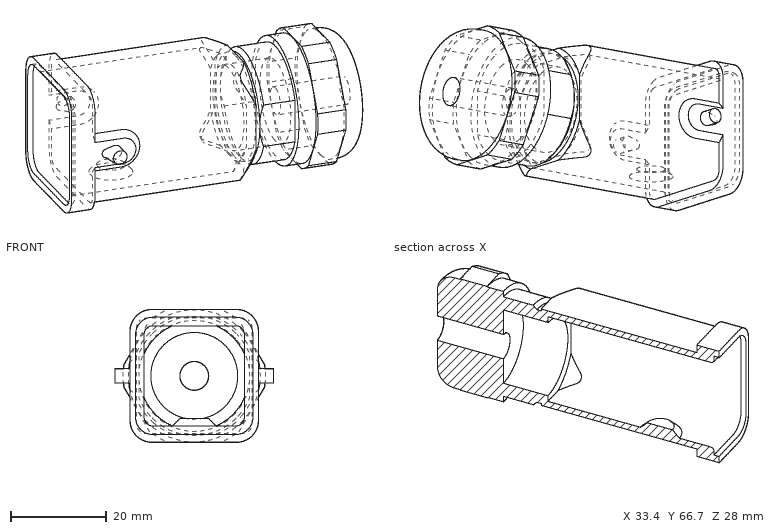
import cadquery as cq
import math


total_length = 66.7
flange_depth = 5.3
body_end = 42.1
groove_end = body_end + 1.0
neck_end = 51.0
hex_start = 54.9
hex_end = 61.2

flange_width = 27.1
flange_height = 28.0
flange_corner = 4.7
body_side = 24.3
body_corner = 2.0
body_cone_radius = 13.1

end_wall = 1.6
cavity_side = 21.1
cavity_corner = 1.8
cavity_cone_radius = 11.505
mouth_round = 0.8
gasket_ledge = 1.0
gasket_depth = 1.2
neck_bore = 18.3
cable_hole = 6.0

boss_y = 14.0
boss_top_radius = 3.0
boss_height = 1.6

groove_diameter = 23.35
neck_flat_width = 23.2
neck_diameter = 25.1
neck_chamfer = (neck_diameter - groove_diameter) / 2
cap_diameter = 27.8
cap_round = 4.15
hex_across_flats = 28.0
hex_corner_diameter = 30.0

pad_y = 11.6
pad_radius = 4.3
pad_height = (flange_width - body_side) / 2
peg_span = 33.4
peg_y = 9.75
peg_radius = 1.55
nose_radius = 1.0
nose_offset = 1.9


def block(width, height, corner, start, end):
    """Rectangular block along Y with rounded corners."""
    blank = cq.Workplane("XY").box(width, end - start, height).translate((0, (start + end) / 2, 0))
    return blank.edges("|Y").fillet(corner)


def turned(points):
    """Solid of revolution about Y from (radius, y) points."""
    return cq.Workplane("XY").polyline(points).close().revolve(360, (0, 0, 0), (0, 1, 0))


def rod(diameter, start, end):
    """Cylinder on the Y axis."""
    radius = diameter / 2
    return turned([(0, start), (radius, start), (radius, end), (0, end)])


def corner_cone(end_radius, start, end):
    """Axial envelope whose radius shrinks at 45 degrees to end_radius at its far end."""
    base_radius = end_radius + end - start
    return turned([(0, start), (base_radius, start), (end_radius, end), (0, end)])


def make_body():
    body = block(body_side, body_side, body_corner, 0, body_end)
    body = body.intersect(corner_cone(body_cone_radius, 0, body_end))
    flange = block(flange_width, flange_height, flange_corner, 0, flange_depth)
    return body.union(flange)


def make_neck():
    neck_radius = neck_diameter / 2
    groove_radius = groove_diameter / 2
    neck = turned([
        (0, groove_end),
        (groove_radius, groove_end),
        (neck_radius, groove_end + neck_chamfer),
        (neck_radius, neck_end),
        (0, neck_end),
    ])
    flats = cq.Workplane("XY").box(neck_flat_width, 2 * neck_end, neck_diameter)
    return neck.intersect(flats).union(rod(groove_diameter, body_end, groove_end))


def make_cap():
    cap = rod(cap_diameter, neck_end, total_length).faces(">Y").edges().fillet(cap_round)
    hex_nut = (
        cq.Workplane("XZ", origin=(0, hex_start, 0))
        .polygon(6, hex_across_flats / math.cos(math.pi / 6))
        .extrude(hex_start - hex_end)
    )
    hex_nut = hex_nut.intersect(rod(hex_corner_diameter, hex_start, hex_end))
    return cap.union(hex_nut)


def hollow(hood):
    """Cut the cavity, the gasket recess at its mouth and the bores toward the cap."""
    floor_y = body_end - end_wall
    cavity = block(cavity_side, cavity_side, cavity_corner, 0, floor_y)
    cavity = cavity.intersect(corner_cone(cavity_cone_radius, 0, floor_y))
    recess_side = cavity_side + 2 * (mouth_round + gasket_ledge)
    recess_corner = cavity_corner + mouth_round + gasket_ledge
    recess = block(recess_side, recess_side, recess_corner, 0, gasket_depth)
    hood = hood.cut(cavity).cut(recess)

    reach = cavity_side / 2 + mouth_round
    lip_edges = cq.selectors.BoxSelector(
        (-reach, gasket_depth - mouth_round, -reach),
        (reach, gasket_depth + mouth_round / 2, reach),
        boundingbox=True,
    )
    hood = hood.edges(lip_edges).fillet(mouth_round)

    hood = hood.cut(rod(neck_bore, floor_y, neck_end))
    return hood.cut(rod(cable_hole, neck_end, total_length))


def make_boss():
    floor_z = -cavity_side / 2
    top_z = floor_z + boss_height
    base_z = floor_z - end_wall / 2
    base_radius = boss_top_radius + top_z - base_z
    profile = [(0, base_z), (base_radius, base_z), (boss_top_radius, top_z), (0, top_z)]
    boss = cq.Workplane("XZ").polyline(profile).close().revolve(360, (0, 0, 0), (0, 1, 0))
    return boss.translate((0, boss_y, 0))


def make_pad():
    """Round-ended pad with 45 degree flanks on the +X side, running back into the flange."""
    embed = end_wall / 2
    base_radius = pad_radius + embed
    rise = pad_height + embed
    start_x = body_side / 2 - embed
    top_radius = base_radius - rise
    top_x = start_x + rise
    profile = [(start_x, 0), (start_x, base_radius), (top_x, top_radius), (top_x, 0)]
    round_end = cq.Workplane("XZ").polyline(profile).close().revolve(360, (0, 0, 0), (1, 0, 0))
    mirrored = [(x, -z) for x, z in profile[1:3]]
    straight = cq.Workplane("XZ").polyline(profile[1:3] + mirrored[::-1]).close().extrude(pad_y)
    return round_end.union(straight).translate((0, pad_y, 0))


def teardrop(plane, peg_point, side_point, nose_point, nose_end):
    """Closed (y, z) outline: arc round the peg, two sides, arc round the nose.

    The sides are arcs through side_point, or straight if it is None.
    """
    sides = [(y, -z) for y, z in (peg_point, nose_point)]
    outline = plane.moveTo(*peg_point).threePointArc((peg_y + peg_radius, 0), sides[0])
    if side_point:
        outline = outline.threePointArc((side_point[0], -side_point[1]), sides[1])
    else:
        outline = outline.lineTo(*sides[1])
    outline = outline.threePointArc(nose_end, nose_point)
    if side_point:
        outline = outline.threePointArc(side_point, peg_point)
    return outline.close()


def make_peg():
    """Peg on the +X side: a teardrop at its foot that blends into a circle at its tip."""
    foot_x = flange_width / 2
    lean = math.asin((peg_radius - nose_radius) / nose_offset)
    nose_y = peg_y - nose_offset
    foot = teardrop(
        cq.Workplane("YZ", origin=(foot_x, 0, 0)),
        (peg_y - peg_radius * math.sin(lean), peg_radius * math.cos(lean)),
        None,
        (nose_y - nose_radius * math.sin(lean), nose_radius * math.cos(lean)),
        (nose_y - nose_radius, 0),
    )

    def on_circle(angle):
        return peg_y - peg_radius * math.sin(angle), peg_radius * math.cos(angle)

    nose_angle = math.acos(nose_radius * math.cos(lean) / peg_radius)
    tip = teardrop(
        foot.workplane(offset=peg_span / 2 - foot_x),
        on_circle(0),
        on_circle(nose_angle / 2),
        on_circle(nose_angle),
        on_circle(math.pi / 2),
    )
    return tip.loft(ruled=True)


pad = make_pad()
peg = make_peg()
hood = make_body().union(make_neck()).union(make_cap())
hood = hood.union(pad).union(pad.mirror("YZ"))
hood = hollow(hood).union(make_boss())
result = hood.union(peg).union(peg.mirror("YZ"))